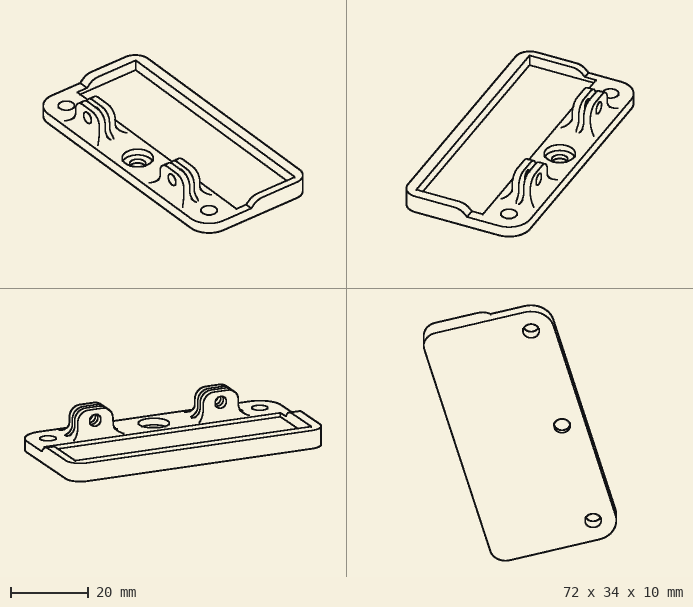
import cadquery as cq
import math

LENGTH = 72.0
WIDTH = 34.0
PLATE_HEIGHT = 3.0
RIM_HEIGHT = 5.0
FRONT_CORNER_RADIUS = 6.0
BACK_CORNER_RADIUS = 4.1

LEFT_WALL = 2.9
RIGHT_WALL = 2.15
BACK_WALL = 3.0
POCKET_FRONT = 11.95
POCKET_FLOOR = 1.95

SHOULDER_START = 18.7
SHOULDER_RADIUS = 4.0

ROW_Y = 6.0
HOLE_DIAMETER = 4.2
HOLE_END_DISTANCE = 6.0
COUNTERBORE_DIAMETER = 8.0
COUNTERBORE_DEPTH = 1.8

LUG_SPACING = 35.6
LUG_LENGTH = 10.0
LUG_THICKNESS = 1.9
LUG_GAP = 1.45
LUG_TOP = 10.0
LUG_TOP_RADIUS = 3.0
LUG_FOOT_RADIUS = 2.5
LUG_GAP_FOOT_RADIUS = 0.4
PIN_DIAMETER = 3.2
PIN_HEIGHT = LUG_TOP - LUG_TOP_RADIUS


def make_tray():
    """Plate with a raised rim whose side walls slope down towards the front."""
    slope = math.radians(45)

    def shoulder_point(angle):
        y = SHOULDER_START - SHOULDER_RADIUS * math.sin(angle)
        z = RIM_HEIGHT - SHOULDER_RADIUS * (1 - math.cos(angle))
        return y, z

    ramp_y, ramp_z = shoulder_point(slope)
    ramp_foot_y = ramp_y - (ramp_z - PLATE_HEIGHT)
    tray = (
        cq.Workplane("YZ")
        .lineTo(WIDTH, 0)
        .lineTo(WIDTH, RIM_HEIGHT)
        .lineTo(SHOULDER_START, RIM_HEIGHT)
        .threePointArc(shoulder_point(slope / 2), (ramp_y, ramp_z))
        .lineTo(ramp_foot_y, PLATE_HEIGHT)
        .lineTo(0, PLATE_HEIGHT)
        .close()
        .extrude(LENGTH)
    )
    tray = tray.edges("|Z and <Y").fillet(FRONT_CORNER_RADIUS)
    tray = tray.edges("|Z and >Y").fillet(BACK_CORNER_RADIUS)
    pocket = cq.Workplane("XY").box(
        LENGTH - LEFT_WALL - RIGHT_WALL,
        WIDTH - BACK_WALL - POCKET_FRONT,
        RIM_HEIGHT,
        centered=False,
    )
    return tray.cut(pocket.translate((LEFT_WALL, POCKET_FRONT, POCKET_FLOOR)))


def flared_profile(plane, start, end, start_radius, end_radius):
    """Upright outline whose two sides curve outwards into the plate top.

    The outline reaches down to the underside, so that it merges with the plate.
    """
    diagonal = 1 - math.sqrt(0.5)
    return (
        cq.Workplane(plane)
        .moveTo(start - start_radius, 0)
        .lineTo(start - start_radius, PLATE_HEIGHT)
        .threePointArc(
            (start - start_radius * diagonal, PLATE_HEIGHT + start_radius * diagonal),
            (start, PLATE_HEIGHT + start_radius),
        )
        .lineTo(start, LUG_TOP)
        .lineTo(end, LUG_TOP)
        .lineTo(end, PLATE_HEIGHT + end_radius)
        .threePointArc(
            (end + end_radius * diagonal, PLATE_HEIGHT + end_radius * diagonal),
            (end + end_radius, PLATE_HEIGHT),
        )
        .lineTo(end + end_radius, 0)
        .close()
    )


def make_lug_pair(center_x):
    """Two parallel lugs with flared, mitred feet and a common pin hole."""
    half_length = LUG_LENGTH / 2
    side = flared_profile(
        "XZ", center_x - half_length, center_x + half_length, LUG_FOOT_RADIUS, LUG_FOOT_RADIUS
    ).extrude(-WIDTH)
    side = side.edges("|Y and >Z").fillet(LUG_TOP_RADIUS)

    inner = LUG_GAP / 2
    outer = inner + LUG_THICKNESS
    front = flared_profile("YZ", ROW_Y - outer, ROW_Y - inner, LUG_FOOT_RADIUS, LUG_GAP_FOOT_RADIUS)
    back = flared_profile("YZ", ROW_Y + inner, ROW_Y + outer, LUG_GAP_FOOT_RADIUS, LUG_FOOT_RADIUS)
    lugs = front.extrude(LENGTH).union(back.extrude(LENGTH)).intersect(side)
    pin_hole = (
        cq.Workplane("XZ").center(center_x, PIN_HEIGHT).circle(PIN_DIAMETER / 2).extrude(-WIDTH)
    )
    return lugs.cut(pin_hole)


result = make_tray()
for direction in (-1, 1):
    result = result.union(make_lug_pair(LENGTH / 2 + direction * LUG_SPACING / 2))

hole_positions = (HOLE_END_DISTANCE, LENGTH / 2, LENGTH - HOLE_END_DISTANCE)
plate_top = cq.Workplane("XY", origin=(0, 0, PLATE_HEIGHT))
result = result.cut(
    plate_top.pushPoints([(x, ROW_Y) for x in hole_positions])
    .circle(HOLE_DIAMETER / 2)
    .extrude(-PLATE_HEIGHT)
)
result = result.cut(
    plate_top.center(LENGTH / 2, ROW_Y).circle(COUNTERBORE_DIAMETER / 2).extrude(-COUNTERBORE_DEPTH)
)